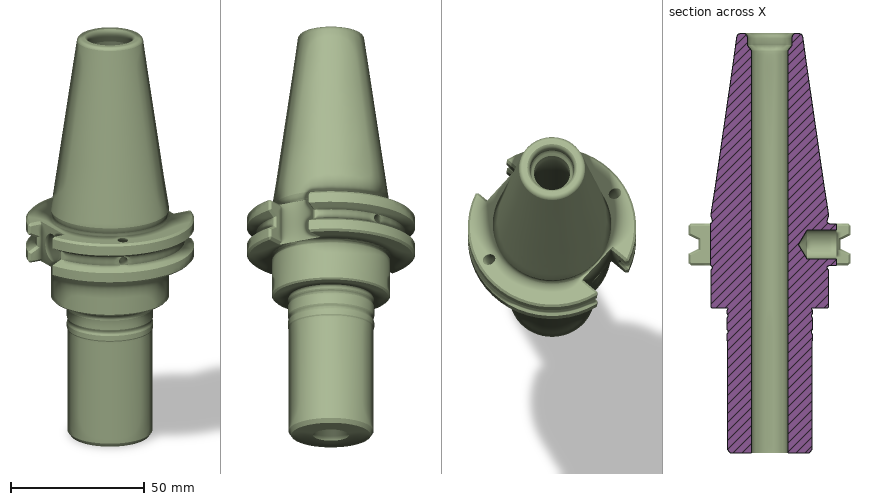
import cadquery as cq
import math

total_height = 157.8

tolerance = 0.02

gauge_height = 89.5
gauge_radius = 22.3
taper_slope = 7 / 48
tip_round_height = 1.1
tip_face_radius = 10.9

flange_bottom = 70.5
flange_top = 86.3
flange_radius = 63.3 / 2
flange_chamfer = 0.8
groove_center = 78.5
groove_floor_radius = 28.1
groove_floor_width = 3.3
groove_mouth_width = 7.0

relief_radius = 21.6
relief_fillet = 1.0

body_radius = 22.3
body_bottom = 54.5
body_top = 68.8
body_chamfer = 0.6

shank_radius = 32.0 / 2
shank_chamfer_width = 1.1
shank_chamfer_height = 1.5
collar_radius = 32.5 / 2
collar_bottom = 42.1
neck_radius = 15.8
ring_top = 53.5
collar_edge_height = 0.5
collar_grooves = [(44.5, 46.9), (50.7, 52.7)]

bore_radius = 13.5 / 2
counterbore_radius = 16.5 / 2
counterbore_depth = 4.5
counterbore_cone_height = 1.9
mouth_radius = 9.3
mouth_depth = 1.9

notch_width = 16.1
notch_chamfer = 1.0
front_notch_floor = 25.1
back_notch_floor = 22.4

dimple_diameter = 10.7
dimple_depth = 11.0
drill_point_angle = 118

duct_angles = (160, -20)
duct_diameter = 4.0
duct_mouth_radius = 27.0
duct_tilt = 36
cross_hole_diameter = 3.3


def taper_radius(height):
    return gauge_radius - (height - gauge_height) * taper_slope


def tangent_arc_radius(along, across):
    """Radius of an arc that leaves a straight line and drifts "across" from it over "along"."""
    return (along**2 + across**2) / (2 * across)


def revolve_outline(outline):
    return outline.close().revolve(360, (0, 0, 0), (0, 1, 0))


def add_lines(outline, points):
    for radius, height in points:
        outline = outline.lineTo(radius, height)
    return outline


def add_collar_groove(outline, bottom, top):
    """Rounded groove with bevelled lips, drawn from bottom to top."""
    lower_lip = bottom + collar_edge_height
    upper_lip = top - collar_edge_height
    outline = add_lines(outline, [(collar_radius, bottom), (shank_radius, lower_lip)])
    outline = outline.threePointArc((neck_radius, (bottom + top) / 2), (shank_radius, upper_lip))
    return outline.lineTo(collar_radius, top)


def make_body():
    """Solid of revolution, outlined from the bottom of the axis up to the tip."""
    fillet_edge_radius = relief_radius + relief_fillet
    tip_edge = total_height - tip_round_height
    tip_edge_radius = taper_radius(tip_edge)
    tip_round_radius = tangent_arc_radius(tip_edge_radius - tip_face_radius, tip_round_height)

    outline = cq.Workplane("XZ").lineTo(shank_radius - shank_chamfer_width, 0)
    outline = add_lines(
        outline,
        [
            (shank_radius, shank_chamfer_height),
            (shank_radius, collar_bottom),
            (collar_radius, collar_bottom + collar_edge_height),
        ],
    )
    for bottom, top in collar_grooves:
        outline = add_collar_groove(outline, bottom, top)

    outline = add_lines(
        outline,
        [
            (collar_radius, ring_top),
            (neck_radius, body_bottom),
            (body_radius - body_chamfer, body_bottom),
            (body_radius, body_bottom + body_chamfer),
            (body_radius, body_top),
            (relief_radius, flange_bottom - relief_fillet),
        ],
    )
    outline = outline.radiusArc((fillet_edge_radius, flange_bottom), relief_fillet)
    outline = add_lines(
        outline,
        [
            (flange_radius - flange_chamfer, flange_bottom),
            (flange_radius, flange_bottom + flange_chamfer),
            (flange_radius, groove_center - groove_mouth_width / 2),
            (groove_floor_radius, groove_center - groove_floor_width / 2),
            (groove_floor_radius, groove_center + groove_floor_width / 2),
            (flange_radius, groove_center + groove_mouth_width / 2),
            (flange_radius, flange_top - flange_chamfer),
            (flange_radius - flange_chamfer, flange_top),
            (fillet_edge_radius, flange_top),
        ],
    )
    outline = outline.radiusArc((relief_radius, flange_top + relief_fillet), relief_fillet)
    outline = add_lines(outline, [(gauge_radius, gauge_height), (tip_edge_radius, tip_edge)])
    outline = outline.radiusArc((tip_face_radius, total_height), -tip_round_radius)
    return revolve_outline(outline.lineTo(0, total_height))


def make_bore():
    """Through bore with a cone-bottomed counterbore whose rounded mouth flares outward."""
    counterbore_floor = total_height - counterbore_depth
    flare_radius = tangent_arc_radius(mouth_depth, mouth_radius - counterbore_radius)

    outline = add_lines(
        cq.Workplane("XZ"),
        [
            (bore_radius, 0),
            (bore_radius, counterbore_floor - counterbore_cone_height),
            (counterbore_radius, counterbore_floor),
            (counterbore_radius, total_height - mouth_depth),
        ],
    )
    outline = outline.radiusArc((mouth_radius, total_height), flare_radius)
    return revolve_outline(outline.lineTo(0, total_height))


def cut_notch(part, floor):
    """Cut a notch open toward +Y and bevel its wall edges, except those along the floor."""
    depth = flange_radius - floor
    height = flange_top - flange_bottom
    notch = cq.Workplane("XY").box(notch_width, depth, height, centered=(True, False, False))
    part = part.cut(notch.translate((0, floor, flange_bottom)))

    def is_wall_rim(edge):
        box = edge.BoundingBox()
        on_wall = box.xlen < tolerance and abs(abs(box.center.x) - notch_width / 2) < tolerance
        return on_wall and box.ymax > floor + tolerance

    rims = [edge for edge in part.edges().vals() if is_wall_rim(edge)]
    return part.newObject(rims).chamfer(notch_chamfer)


def make_dimple():
    radius = dimple_diameter / 2
    point_length = radius / math.tan(math.radians(drill_point_angle / 2))
    center_height = (flange_bottom + flange_top) / 2
    outline = add_lines(
        cq.Workplane("XY"),
        [(radius, 0), (radius, dimple_depth), (0, dimple_depth + point_length)],
    )
    return revolve_outline(outline).translate((0, -front_notch_floor, center_height))


def make_hole(start, direction, length, diameter):
    return cq.Workplane(cq.Solid.makeCylinder(diameter / 2, length, start, direction))


def make_duct(angle):
    """Slanted hole and radial cross hole, lying in the XZ plane and then turned about Z."""
    tilt = math.radians(duct_tilt)
    slant = cq.Vector(-math.sin(tilt), 0, -math.cos(tilt))
    mouth = cq.Vector(duct_mouth_radius, 0, flange_top)
    slant_length = (flange_top - groove_center) / math.cos(tilt)
    overrun = duct_diameter
    slanted_hole = make_hole(mouth - slant * overrun, slant, slant_length + overrun, duct_diameter)

    meeting_radius = duct_mouth_radius - slant_length * math.sin(tilt)
    cross_start = cq.Vector(flange_radius, 0, groove_center)
    cross_length = flange_radius - meeting_radius
    cross_hole = make_hole(cross_start, cq.Vector(-1, 0, 0), cross_length, cross_hole_diameter)
    return slanted_hole.union(cross_hole).rotate((0, 0, 0), (0, 0, 1), angle)


result = make_body().cut(make_bore())
result = cut_notch(result, back_notch_floor).rotate((0, 0, 0), (0, 0, 1), 180)
result = cut_notch(result, front_notch_floor).rotate((0, 0, 0), (0, 0, 1), 180)
result = result.cut(make_dimple())
for duct_angle in duct_angles:
    result = result.cut(make_duct(duct_angle))